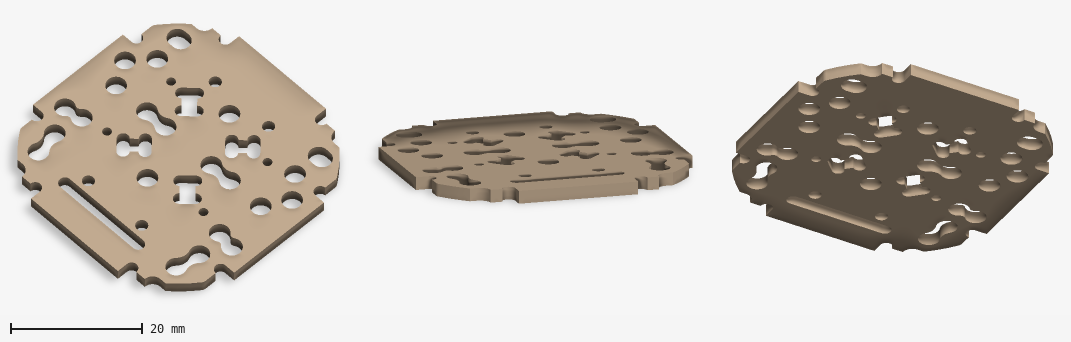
import cadquery as cq
import math

overall_size = 44.0
thickness = 2.0
body_size = 40.2
corner_radius = 24.5
corner_blend_radius = 1.0
tab_width = 19.0
relief_radius = 1.03

screw_diameter = 3.3
screw_radius = screw_diameter / 2
inner_column_x = 15.07
outer_column_x = 15.82
edge_screw_x = 18.27
edge_screw_y = 6.35
corner_slot_y = 15.05
corner_notch_y = 20.05
inner_screw_offset = 7.97
outer_screw_offset = 12.97

pattern_y = 2.1
center_screw_offset = 8.67
center_keyhole_inner_x = 5.0
center_keyhole_outer_x = 9.08
keyhole_neck_half_width = 1.03

cross_offset = 5.84
cross_length = 5.36
cross_width = 2.4
cross_relief_radius = 1.0
cross_relief_spacing = cross_length - 2 * cross_relief_radius

medium_hole_diameter = 2.0
medium_hole_x = 5.83
medium_hole_y = 13.41
small_hole_diameter = 1.5
small_hole_x = 10.54
small_hole_center_y = 1.85
small_hole_offset = 6.77
cable_slot_length = 18.15
cable_slot_width = 2.08
cable_slot_y = -16.25

sides = (-1, 1)


def mirrored(x, y):
    """The point and its mirror image across the YZ plane."""
    return [(side * x, y) for side in sides]


def four_corners(x, y):
    """The point mirrored across both centre planes."""
    return [(sx * x, sy * y) for sx in sides for sy in sides]


def slab(length, width):
    return cq.Workplane("XY").rect(length, width).extrude(thickness)


def cylinders(points, diameter):
    return cq.Workplane("XY").pushPoints(points).circle(diameter / 2).extrude(thickness)


def make_plate():
    """Square body with rounded corners and a wide tab on each side."""
    rounding = cq.Workplane("XY").circle(corner_radius).extrude(thickness)
    body = slab(body_size, body_size).intersect(rounding)
    body = body.edges("|Z").fillet(corner_blend_radius)
    return body.union(slab(overall_size, tab_width)).union(slab(tab_width, overall_size))


def tab_reliefs():
    """Round reliefs in the body edge, tangent to the flanks of the tabs."""
    along = tab_width / 2 + relief_radius
    across = body_size / 2
    points = four_corners(along, across) + four_corners(across, along)
    return cylinders(points, 2 * relief_radius)


def corner_notches():
    """Screw-wide notches, round at the inner end and open at the corner."""
    length = body_size / 2 - inner_column_x
    centers = four_corners(inner_column_x + length / 2, corner_notch_y)
    straight = cq.Workplane("XY").pushPoints(centers).rect(length, screw_diameter).extrude(thickness)
    round_ends = cylinders(four_corners(inner_column_x, corner_notch_y), screw_diameter)
    return straight.union(round_ends)


def screw_holes():
    points = mirrored(edge_screw_x, edge_screw_y)
    points += mirrored(inner_column_x, pattern_y + inner_screw_offset)
    points += mirrored(outer_column_x, pattern_y)
    points += [(0, pattern_y + side * center_screw_offset) for side in sides]
    return cylinders(points, screw_diameter)


def corner_slots():
    """Short slots that cover both screw columns."""
    points = mirrored((inner_column_x + outer_column_x) / 2, corner_slot_y)
    length = outer_column_x - inner_column_x + screw_diameter
    return cq.Workplane("XY").pushPoints(points).slot2D(length, screw_diameter).extrude(thickness)


def keyhole(start, end):
    """Two screw holes joined by a neck whose sides are arcs tangent to both holes."""
    dx = end[0] - start[0]
    dy = end[1] - start[1]
    half = math.hypot(dx, dy) / 2
    neck = keyhole_neck_half_width
    flank = (half**2 + neck**2 - screw_radius**2) / (2 * (screw_radius - neck))
    reach = screw_radius + flank
    tangent_x = half * flank / reach
    tangent_y = (neck + flank) * screw_radius / reach
    tip = half + screw_radius
    return (
        cq.Workplane("XY")
        .moveTo(-tangent_x, tangent_y)
        .threePointArc((0, neck), (tangent_x, tangent_y))
        .threePointArc((tip, 0), (tangent_x, -tangent_y))
        .threePointArc((0, -neck), (-tangent_x, -tangent_y))
        .threePointArc((-tip, 0), (-tangent_x, tangent_y))
        .close()
        .extrude(thickness)
        .rotate((0, 0, 0), (0, 0, 1), math.degrees(math.atan2(dy, dx)))
        .translate(((start[0] + end[0]) / 2, (start[1] + end[1]) / 2, 0))
    )


def keyholes():
    """Three keyholes on each half of the plate."""
    pairs = [
        ((center_keyhole_inner_x, pattern_y), (center_keyhole_outer_x, pattern_y)),
        ((inner_column_x, pattern_y - inner_screw_offset), (edge_screw_x, -edge_screw_y)),
        ((outer_column_x, pattern_y - outer_screw_offset), (inner_column_x, -corner_slot_y)),
    ]
    half_set = cq.Workplane("XY")
    for start, end in pairs:
        half_set = half_set.add(keyhole(start, end))
    half_set = half_set.combine()
    return half_set.union(half_set.mirror("YZ"))


def cross_opening(sx, sy):
    """Rectangle pointing away from the pattern centre, relieved at its corners."""
    reliefs = four_corners(cross_relief_spacing / 2, cross_width / 2)
    opening = slab(cross_length, cross_width).union(cylinders(reliefs, 2 * cross_relief_radius))
    direction = math.degrees(math.atan2(sy, sx))
    center = (sx * cross_offset, pattern_y + sy * cross_offset, 0)
    return opening.rotate((0, 0, 0), (0, 0, 1), direction).translate(center)


def small_holes():
    medium = cylinders(four_corners(medium_hole_x, medium_hole_y), medium_hole_diameter)
    points = []
    for side in sides:
        points += mirrored(small_hole_x, small_hole_center_y + side * small_hole_offset)
    return medium.union(cylinders(points, small_hole_diameter))


def cable_slot():
    slot = cq.Workplane("XY").center(0, cable_slot_y).slot2D(cable_slot_length, cable_slot_width)
    return slot.extrude(thickness)


result = make_plate()
cutters = [
    tab_reliefs(),
    corner_notches(),
    screw_holes(),
    corner_slots(),
    keyholes(),
    small_holes(),
    cable_slot(),
]
cutters += [cross_opening(sx, sy) for sx in sides for sy in sides]
for cutter in cutters:
    result = result.cut(cutter)